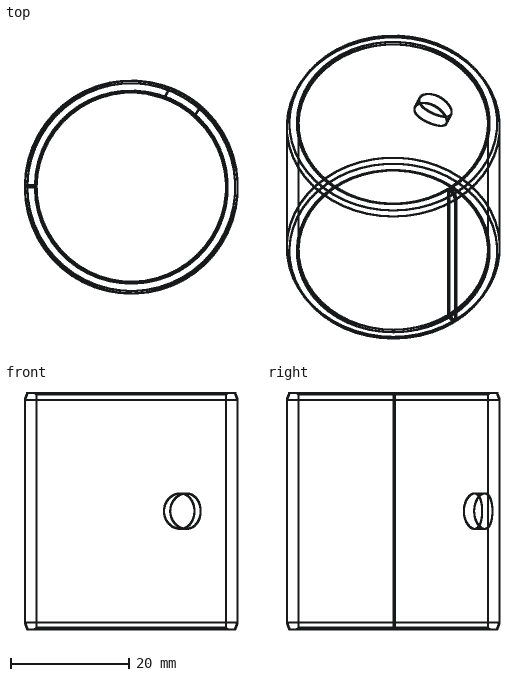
import cadquery as cq
import math

bore_diameter = 32.0
wall_thickness = 2.0
length = 40.0

outer_chamfer_length = 1.2
outer_chamfer_angle = 20.0
inner_chamfer = 0.3

joint_start_angle = 180.0
joint_gap_angle = 1.0

oil_hole_diameter = 6.0
oil_hole_to_joint_angle = 120.0

bore_radius = bore_diameter / 2
outer_radius = bore_radius + wall_thickness
half_length = length / 2
wall_sweep_angle = 360.0 - joint_gap_angle
oil_hole_angle = joint_start_angle - joint_gap_angle - oil_hole_to_joint_angle
outer_chamfer_depth = outer_chamfer_length * math.tan(math.radians(outer_chamfer_angle))


def make_sleeve():
    """Revolve the chamfered wall section about Z, leaving the joint open."""
    end_outer_radius = outer_radius - outer_chamfer_depth
    end_inner_radius = bore_radius + inner_chamfer
    outer_chamfer_z = half_length - outer_chamfer_length
    inner_chamfer_z = half_length - inner_chamfer
    wall_section = (
        cq.Workplane("XZ")
        .moveTo(bore_radius, -inner_chamfer_z)
        .lineTo(end_inner_radius, -half_length)
        .lineTo(end_outer_radius, -half_length)
        .lineTo(outer_radius, -outer_chamfer_z)
        .lineTo(outer_radius, outer_chamfer_z)
        .lineTo(end_outer_radius, half_length)
        .lineTo(end_inner_radius, half_length)
        .lineTo(bore_radius, inner_chamfer_z)
        .close()
    )
    sleeve = wall_section.revolve(wall_sweep_angle, (0, 0, 0), (0, 1, 0))
    return sleeve.rotate((0, 0, 0), (0, 0, 1), joint_start_angle)


def make_oil_hole_cutter():
    """Radial cylinder from the axis out past the wall."""
    cylinder = cq.Workplane("YZ").circle(oil_hole_diameter / 2).extrude(2 * outer_radius)
    return cylinder.rotate((0, 0, 0), (0, 0, 1), oil_hole_angle)


result = make_sleeve().cut(make_oil_hole_cutter())